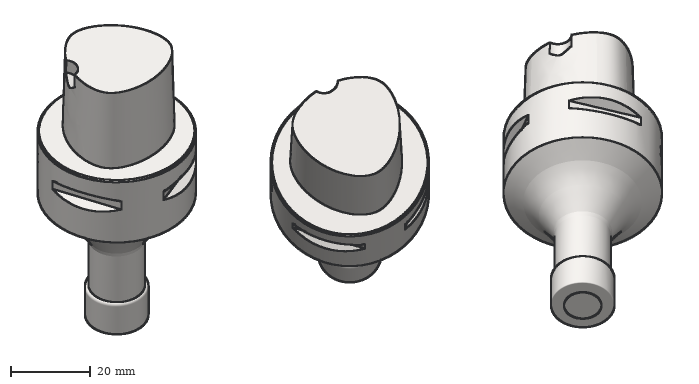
import cadquery as cq
import math

TOTAL_LENGTH = 84.0
TAPER_LENGTH = 24.0
FLANGE_HEIGHT = 20.0
NUT_HEIGHT = 10.1
FLANGE_TOP = TOTAL_LENGTH - TAPER_LENGTH
FLANGE_BOTTOM = FLANGE_TOP - FLANGE_HEIGHT

FLANGE_RADIUS = 40.0 / 2
FLANGE_CHAMFER = 0.4
SHANK_RADIUS = 14.4 / 2
NECK_CONE_RADIUS = 14.95
NECK_CONE_Z = 36.7
NECK_ARC_MID_RADIUS = 12.85
NECK_ARC_MID_Z = 34.6
NECK_ARC_END_RADIUS = 11.0
NECK_ARC_END_Z = 31.9
NECK_FOOT_RADIUS = 7.5
NECK_FOOT_Z = 26.0
SHANK_TOP_Z = 24.9

POLYGON_RADIUS = 14.1
POLYGON_ECCENTRICITY = 0.9
TAPER_RATIO = 1 / 20
POLYGON_TOP_RADIUS = POLYGON_RADIUS - TAPER_LENGTH * TAPER_RATIO / 2
LOBE_COUNT = 3
SPANS = 2 * LOBE_COUNT
POINTS_PER_SPAN = 8

NOTCH_RADIUS = 3.5
NOTCH_INNER_Y = -10.6
NOTCH_DEPTH = 4.0
NOTCH_AXIS_Y = NOTCH_INNER_Y - NOTCH_RADIUS

GROOVE_COUNT = 4
GROOVE_FLOOR_DISTANCE = 17.55
GROOVE_FLOOR_WIDTH = 2.6
GROOVE_WALL_ANGLE = 28.0
GROOVE_BELOW_FLANGE_TOP = 8.0

NUT_RADIUS = 8.1
NUT_TOP_ROUND = 0.8
NUT_BOTTOM_ROUND = 0.25
NUT_FACE_RADIUS = 4.7
NUT_FACE_HEIGHT = 0.2


def turned_body():
    """Flange, curved neck and shank turned about Z."""
    profile = (
        cq.Workplane("XZ")
        .moveTo(0, NUT_HEIGHT)
        .lineTo(SHANK_RADIUS, NUT_HEIGHT)
        .lineTo(SHANK_RADIUS, SHANK_TOP_Z)
        .lineTo(NECK_FOOT_RADIUS, NECK_FOOT_Z)
        .lineTo(NECK_ARC_END_RADIUS, NECK_ARC_END_Z)
        .threePointArc((NECK_ARC_MID_RADIUS, NECK_ARC_MID_Z), (NECK_CONE_RADIUS, NECK_CONE_Z))
        .lineTo(FLANGE_RADIUS, FLANGE_BOTTOM)
        .lineTo(FLANGE_RADIUS, FLANGE_TOP - FLANGE_CHAMFER)
        .lineTo(FLANGE_RADIUS - FLANGE_CHAMFER, FLANGE_TOP)
        .lineTo(0, FLANGE_TOP)
        .close()
    )
    return profile.revolve(360, (0, 0, 0), (0, 1, 0))


def polygon_point(mean_radius, angle, z):
    """Point whose outward normal is at the angle; support distance R - e*sin(3*angle)."""
    support = mean_radius - POLYGON_ECCENTRICITY * math.sin(LOBE_COUNT * angle)
    slope = -LOBE_COUNT * POLYGON_ECCENTRICITY * math.cos(LOBE_COUNT * angle)
    x = support * math.cos(angle) - slope * math.sin(angle)
    y = support * math.sin(angle) + slope * math.cos(angle)
    return cq.Vector(x, y, z)


def polygon_wire(mean_radius, z):
    """Closed section made of alternating lobe and flank curves."""
    span_angle = 2 * math.pi / SPANS
    edges = []
    for span in range(SPANS):
        angles = [(span + i / POINTS_PER_SPAN) * span_angle for i in range(POINTS_PER_SPAN + 1)]
        points = [polygon_point(mean_radius, angle, z) for angle in angles]
        tangents = [cq.Vector(-math.sin(a), math.cos(a), 0) for a in (angles[0], angles[-1])]
        edges.append(cq.Edge.makeSpline(points, tangents=tangents))
    return cq.Wire.assembleEdges(edges)


def polygon_taper():
    base = polygon_wire(POLYGON_RADIUS, FLANGE_TOP)
    top = polygon_wire(POLYGON_TOP_RADIUS, TOTAL_LENGTH)
    return cq.Workplane(cq.Solid.makeLoft([base, top], True))


def notch_cutter():
    """Drill shape along Z with a 45 degree conical tip."""
    shoulder_z = TOTAL_LENGTH - NOTCH_DEPTH
    return (
        cq.Workplane("XZ", origin=(0, NOTCH_AXIS_Y, 0))
        .moveTo(0, shoulder_z - NOTCH_RADIUS)
        .lineTo(NOTCH_RADIUS, shoulder_z)
        .lineTo(NOTCH_RADIUS, TOTAL_LENGTH)
        .lineTo(0, TOTAL_LENGTH)
        .close()
        .revolve(360, (0, 0, 0), (0, 1, 0))
    )


def groove_cutter(direction):
    """Straight groove with flared walls, facing the given direction in degrees."""
    center_z = FLANGE_TOP - GROOVE_BELOW_FLANGE_TOP
    floor_half = GROOVE_FLOOR_WIDTH / 2
    depth = FLANGE_RADIUS - GROOVE_FLOOR_DISTANCE
    mouth_half = floor_half + depth * math.tan(math.radians(GROOVE_WALL_ANGLE))
    return (
        cq.Workplane("XZ")
        .polyline([
            (GROOVE_FLOOR_DISTANCE, center_z - floor_half),
            (FLANGE_RADIUS, center_z - mouth_half),
            (FLANGE_RADIUS, center_z + mouth_half),
            (GROOVE_FLOOR_DISTANCE, center_z + floor_half),
        ])
        .close()
        .extrude(FLANGE_RADIUS, both=True)
        .rotate((0, 0, 0), (0, 0, 1), direction)
    )


def make_holder():
    body = turned_body().union(polygon_taper()).cut(notch_cutter())
    for i in range(GROOVE_COUNT):
        body = body.cut(groove_cutter((i + 0.5) * 360 / GROOVE_COUNT))
    return body


def make_nut():
    """Round nut below the shank with a slightly raised end face."""
    nut = (
        cq.Workplane("XY", origin=(0, 0, NUT_FACE_HEIGHT))
        .circle(NUT_RADIUS)
        .extrude(NUT_HEIGHT - NUT_FACE_HEIGHT)
        .faces(">Z").edges().fillet(NUT_TOP_ROUND)
        .faces("<Z").edges().fillet(NUT_BOTTOM_ROUND)
    )
    raised_face = cq.Workplane("XY").circle(NUT_FACE_RADIUS).extrude(NUT_FACE_HEIGHT)
    return nut.union(raised_face)


holder = make_holder()
nut = make_nut()
result = cq.Compound.makeCompound([holder.solids().val(), nut.solids().val()])